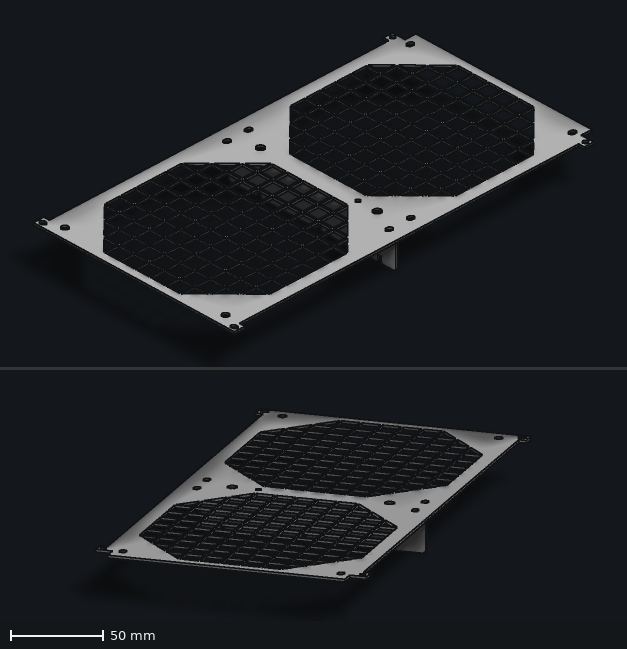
import cadquery as cq
plate_length = 281.8
plate_thickness = 1.7
ear_span = 155.3
body_width = 146.8
tongue_width = 136.0
tongue_length = 8.2
top_ear_length = 7.3
bottom_ear_length = 8.2

window_size = 127.5
window_flat = 59.2
window_offset = 70.7
mesh_offset = 70.5
bar_count = 10
bar_span = 105.7
bar_width = 1.5
bar_pitch = bar_span / (bar_count - 1)

along_x = 0
along_y = 90
slot_width = 3.7
slot_length = 4.8
slot_x = 62.5
top_slot_y = 131.3
middle_slot_y = 8.2
corner_hole_diameter = 4.5
corner_hole_x = 62.0
corner_hole_y = -132.2
top_ear_hole_diameter = 3.5
top_ear_hole_x = 74.5
top_ear_hole_y = 129.5
bottom_ear_slot_length = 4.5
bottom_ear_slot_width = 3.5
bottom_ear_slot_x = 73.8
bottom_ear_slot_y = -137.2
centre_hole_diameter = 5.4
centre_hole_x = 45.0
pilot_hole_diameter = 3.0
pilot_hole_x = 30.2

overall_height = 28.0
rib_height = overall_height - plate_thickness
rib_width = 129.0
rib_thickness = plate_thickness
rib_back_y = -3.5
rib_y = rib_back_y - rib_thickness / 2
rib_edge_radius = 2.0
notch_width = 2.5
notch_depth = 4.5
notch_pitch = 46.5
middle_notch_x = 5.4


def plate_blank():
    """Flat plate with a narrower tongue at +Y and an ear at each corner."""
    top = plate_length / 2
    shoulder = top - tongue_length
    half_outline = [
        (0, top),
        (tongue_width / 2, top),
        (tongue_width / 2, shoulder),
        (ear_span / 2, shoulder),
        (ear_span / 2, shoulder - top_ear_length),
        (body_width / 2, shoulder - top_ear_length),
        (body_width / 2, bottom_ear_length - top),
        (ear_span / 2, bottom_ear_length - top),
        (ear_span / 2, -top),
        (0, -top),
    ]
    return cq.Workplane("XY").polyline(half_outline).mirrorY().extrude(plate_thickness)


def octagon(y):
    """Solid the shape of one mesh window, centred at y on the plate."""
    corner = (window_size - window_flat) / 2
    return (
        cq.Workplane("XY")
        .center(0, y)
        .rect(window_size, window_size)
        .extrude(plate_thickness)
        .edges("|Z")
        .chamfer(corner)
    )


def mesh(y):
    """Crossed bars about a centre at y, long enough to reach past the window edges."""
    offsets = [(i - (bar_count - 1) / 2) * bar_pitch for i in range(bar_count)]
    bar_length = window_size + bar_pitch
    upright_bars = (
        cq.Workplane("XY")
        .pushPoints([(offset, y) for offset in offsets])
        .rect(bar_width, bar_length)
        .extrude(plate_thickness)
    )
    level_bars = (
        cq.Workplane("XY")
        .pushPoints([(0, y + offset) for offset in offsets])
        .rect(bar_length, bar_width)
        .extrude(plate_thickness)
    )
    return upright_bars.union(level_bars)


def both_sides(x, *y_positions):
    """Points at +x and -x for each of the given Y positions."""
    return [(side * x, y) for y in y_positions for side in (-1, 1)]


def round_holes(points, diameter):
    """Cutters for equal round holes through the plate."""
    return cq.Workplane("XY").pushPoints(points).circle(diameter / 2).extrude(plate_thickness)


def slots(points, length, width, angle=along_x):
    """Cutters for equal round-ended slots through the plate."""
    return cq.Workplane("XY").pushPoints(points).slot2D(length, width, angle).extrude(plate_thickness)


def rib():
    """Upright sheet with three notches; the ends and notch mouths of its lower edge are rounded."""
    sheet = (
        cq.Workplane("XY")
        .center(0, rib_y)
        .rect(rib_width, rib_thickness)
        .extrude(-rib_height)
    )
    notch_points = [(middle_notch_x + step * notch_pitch, rib_y) for step in (-1, 0, 1)]
    notches = (
        cq.Workplane("XY")
        .workplane(offset=-rib_height)
        .pushPoints(notch_points)
        .rect(notch_width, rib_thickness)
        .extrude(notch_depth)
    )
    return sheet.cut(notches).faces("<Z").edges("|Y").fillet(rib_edge_radius)


result = plate_blank()

for side in (-1, 1):
    openings = octagon(side * window_offset).cut(mesh(side * mesh_offset))
    result = result.cut(openings)

mounting_slots = both_sides(slot_x, top_slot_y, middle_slot_y, -middle_slot_y)
result = result.cut(slots(mounting_slots, slot_length, slot_width, along_y))
result = result.cut(round_holes(both_sides(corner_hole_x, corner_hole_y), corner_hole_diameter))
result = result.cut(round_holes(both_sides(top_ear_hole_x, top_ear_hole_y), top_ear_hole_diameter))
ear_slots = both_sides(bottom_ear_slot_x, bottom_ear_slot_y)
result = result.cut(slots(ear_slots, bottom_ear_slot_length, bottom_ear_slot_width))
result = result.cut(round_holes(both_sides(centre_hole_x, 0), centre_hole_diameter))
result = result.cut(round_holes([(pilot_hole_x, 0)], pilot_hole_diameter))

result = result.union(rib())